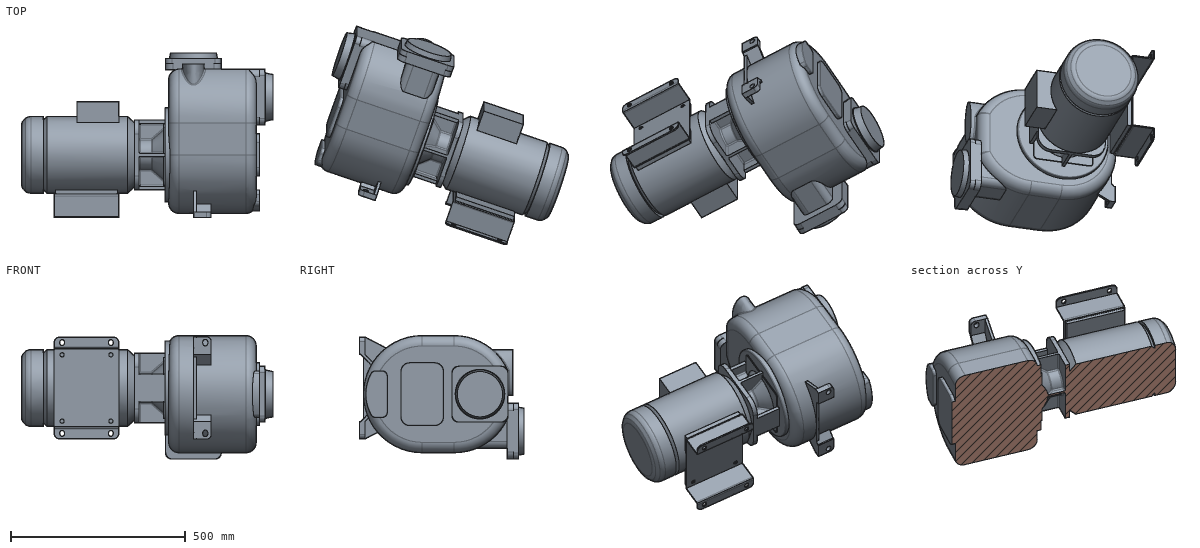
import cadquery as cq
import math


margin = 1

motor_radius = 110.2
motor_end_fillet = 28
motor_end_bevel_angles = (30, 57)
motor_groove_x = 63.5
motor_groove_depth = 10
motor_cone_x = 304.5
motor_cone_depth = 18
motor_end_x = 324
terminal_box_x = 159.5
terminal_box_length = 120
terminal_box_top_y = 152.5

adapter_half = 100
adapter_corner_radius = 40
adapter_flange_thickness = 13.5
adapter_wall_thickness = 10
adapter_wall_width = 80
adapter_rib_thickness = 8
adapter_root_fillet = 4
hub_radius = 43
hub_cone_x = 374
hub_cone_radius = 75
pad_half = 88
pad_corner_radius = 10
pad_thickness = 3
cover_radius = 135
cover_x = 411
cover_edge_fillet = 2

casing_x = 422
casing_length = 251
casing_radius = 168
casing_center_z = -17.7
casing_straight = 91.5
casing_flat_y = 245.5
casing_fillet = 30
casing_end_x = casing_x + casing_length

port_size = 160
port_flange_thickness = 15.5
port_flange_corner = 18
port_body_corner = 21
outlet_nozzle_radius = 69
outlet_nozzle_end_radius = 66
inlet_nozzle_radius = 70
inlet_nozzle_end_radius = 65
inlet_collar_radius = 71
inlet_collar_length = 2
overall_length = 721.5
inlet_flange_x = 697.5
inlet_center_y = casing_flat_y - port_size / 2
outlet_end_y = 292
outlet_flange_y = 276.5
outlet_body_y = 243.5
outlet_center_x = 493
outlet_center_z = -123.7
outlet_neck_size = 99
outlet_neck_corner = 20

boss_center_z = 44.5
boss_half_width = 31
boss_half_height = 65.5
boss_end_y = 260
boss_root_fillet = 4

end_cover_height = 9.7
end_cover_fillet = 1
large_cover_width = 122
large_cover_height = 180
large_cover_corner = 25
small_cover_top_y = -100
small_cover_side_end_y = -142
small_cover_bottom_y = -161.5
small_cover_height = 133
small_cover_corner = 14

foot_y = -180
foot_half_height = 146
foot_hole_z = 130

gusset_x = 493.5
gusset_thickness = 8.5
gusset_root_y = -100
gusset_root_z = 113
gusset_shoulder_y = -163.5
gusset_edge_y = -168.5
gusset_notch_y = -176
gusset_notch_z = 96
foot_lug_end_x = 544
foot_lug_root_y = -135
foot_lug_web_thickness = 8.5
foot_lug_corner = 13
foot_lug_hole_x = 527
foot_lug_hole_width = 15
foot_lug_hole_height = 19

bracket_x = 94
bracket_length = 185.5
sheet = 4
bracket_bend_y = -118
bracket_half_height = 115
bend_radius = 6
bracket_corner = 16
bracket_hole_inset = 23
bracket_slot_width = 12.5
bracket_slot_height = 16
plate_hole_diameter = 12
plate_hole_z = 95
spacer_x = 98.5
spacer_length = 176.5
spacer_top_y = -100
spacer_half_height = 112


def block(x0, x1, y0, y1, z0, z1):
    return cq.Workplane("XY").box(x1 - x0, y1 - y0, z1 - z0, centered=False).translate((x0, y0, z0))


def square_along_x(x0, x1, center_y, center_z, size_y, size_z, corner):
    plate = cq.Workplane("YZ", origin=(x0, center_y, center_z)).rect(size_y, size_z).extrude(x1 - x0)
    return plate.edges("|X").fillet(corner)


def square_along_y(y0, y1, center_x, center_z, size, corner):
    plate = cq.Workplane("XZ", origin=(center_x, y0, center_z)).rect(size, size).extrude(y0 - y1)
    return plate.edges("|Y").fillet(corner)


def revolved_about_x(outline):
    return outline.close().revolve(360, (0, 0, 0), (1, 0, 0))


def motor_end_point(angle):
    """Point of the rounded motor end, `angle` degrees around from its flat face."""
    turn = math.radians(angle)
    return (
        motor_end_fillet * (1 - math.cos(turn)),
        motor_radius - motor_end_fillet * (1 - math.sin(turn)),
    )


def make_motor():
    bevel_start, bevel_end = motor_end_bevel_angles
    groove_radius = motor_radius - motor_groove_depth
    outline = (
        cq.Workplane("XY")
        .lineTo(*motor_end_point(0))
        .threePointArc(motor_end_point(bevel_start / 2), motor_end_point(bevel_start))
        .lineTo(*motor_end_point(bevel_end))
        .threePointArc(motor_end_point((bevel_end + 90) / 2), motor_end_point(90))
        .lineTo(motor_groove_x, motor_radius)
        .lineTo(motor_groove_x, groove_radius)
        .lineTo(motor_groove_x + motor_groove_depth, motor_radius)
        .lineTo(motor_cone_x, motor_radius)
        .lineTo(motor_end_x, motor_radius - motor_cone_depth)
        .lineTo(motor_end_x, 0)
    )
    box_half = terminal_box_length / 2
    terminal_box = block(
        terminal_box_x, terminal_box_x + terminal_box_length, 0, terminal_box_top_y, -box_half, box_half
    )
    return revolved_about_x(outline).union(terminal_box)


def make_adapter():
    flange_back_x = motor_end_x + adapter_flange_thickness
    side = 2 * adapter_half
    flange = square_along_x(motor_end_x, flange_back_x, 0, 0, side, side, adapter_corner_radius)
    hub = revolved_about_x(
        cq.Workplane("XY", origin=(motor_end_x, 0, 0))
        .lineTo(0, hub_radius)
        .lineTo(hub_cone_x - motor_end_x, hub_radius)
        .lineTo(cover_x - motor_end_x, hub_cone_radius)
        .lineTo(cover_x - motor_end_x, 0)
    )
    body = flange.union(hub)
    half_rib = adapter_rib_thickness / 2
    half_wall = adapter_wall_width / 2
    wall_inner = adapter_half - adapter_wall_thickness
    upright_rib = block(motor_end_x, cover_x, -half_rib, half_rib, -adapter_half, adapter_half)
    level_rib = block(motor_end_x, cover_x, -adapter_half, adapter_half, -half_rib, half_rib)
    body = body.union(upright_rib).union(level_rib)
    for y0 in (wall_inner, -adapter_half):
        wall = block(motor_end_x, cover_x, y0, y0 + adapter_wall_thickness, -half_wall, half_wall)
        body = body.union(wall)
    root_reach = adapter_half - adapter_corner_radius / 2
    roots = cq.selectors.BoxSelector(
        (flange_back_x - margin, -root_reach, -root_reach), (cover_x - margin, root_reach, root_reach)
    )
    rib_ends = cq.selectors.BoxSelector(
        (flange_back_x - margin, -wall_inner - margin, -half_rib - margin),
        (cover_x - margin, wall_inner + margin, half_rib + margin),
    )
    return body.edges(roots + rib_ends).fillet(adapter_root_fillet)


def make_cover():
    pad = square_along_x(
        cover_x - pad_thickness, cover_x, 0, 0, 2 * pad_half, 2 * pad_half, pad_corner_radius
    )
    disc = cq.Workplane("YZ", origin=(cover_x, 0, 0)).circle(cover_radius)
    disc = disc.extrude(casing_x + casing_fillet - cover_x)
    return disc.faces("<X").edges().fillet(cover_edge_fillet).union(pad)


def make_casing():
    flat_half = math.sqrt(casing_radius**2 - (casing_flat_y - casing_straight) ** 2)
    arc_mid = casing_radius * math.sqrt(0.5)
    outline = cq.Workplane("YZ", origin=(casing_x, 0, casing_center_z)).moveTo(0, casing_radius)
    drum = (
        outline.threePointArc((-casing_radius, 0), (0, -casing_radius))
        .lineTo(casing_straight, -casing_radius)
        .threePointArc((casing_straight + arc_mid, -arc_mid), (casing_flat_y, -flat_half))
        .lineTo(casing_flat_y, flat_half)
        .threePointArc((casing_straight + arc_mid, arc_mid), (casing_straight, casing_radius))
        .close()
        .extrude(casing_length)
    )
    return drum.edges("<X or >X").fillet(casing_fillet)


def make_nozzle(base_radius, end_radius, length):
    """Tapered round nozzle standing on the XY plane."""
    nozzle = cq.Workplane("XY").circle(base_radius)
    return nozzle.workplane(offset=length).circle(end_radius).loft()


def make_inlet():
    step_x = inlet_flange_x - port_flange_thickness
    root_x = casing_end_x - casing_fillet
    center = (inlet_center_y, casing_center_z)
    body = square_along_x(root_x, step_x, *center, port_size, port_size, port_body_corner)
    flange = square_along_x(step_x, inlet_flange_x, *center, port_size, port_size, port_flange_corner)
    collar = cq.Workplane("XY").circle(inlet_collar_radius).extrude(inlet_collar_length)
    nozzle = make_nozzle(inlet_nozzle_radius, inlet_nozzle_end_radius, overall_length - inlet_flange_x)
    nozzle = nozzle.union(collar).rotate((0, 0, 0), (0, 1, 0), 90)
    return body.union(flange).union(nozzle.translate((inlet_flange_x, *center)))


def make_outlet():
    step_y = outlet_flange_y - port_flange_thickness
    center = (outlet_center_x, outlet_center_z)
    neck = square_along_y(casing_straight, outlet_body_y, *center, outlet_neck_size, outlet_neck_corner)
    body = square_along_y(outlet_body_y, step_y, *center, port_size, port_body_corner)
    flange = square_along_y(step_y, outlet_flange_y, *center, port_size, port_flange_corner)
    nozzle = make_nozzle(outlet_nozzle_radius, outlet_nozzle_end_radius, outlet_end_y - outlet_flange_y)
    nozzle = nozzle.rotate((0, 0, 0), (1, 0, 0), -90)
    nozzle = nozzle.translate((outlet_center_x, outlet_flange_y, outlet_center_z))
    return neck.union(body).union(flange).union(nozzle)


def add_filling_boss(casing):
    plane = cq.Workplane("XZ", origin=(outlet_center_x, boss_end_y, boss_center_z))
    boss = plane.ellipse(boss_half_width, boss_half_height).extrude(boss_end_y - casing_straight)
    root_reach = boss_half_height + margin
    root = cq.selectors.BoxSelector(
        (outlet_center_x - boss_half_width, casing_straight + margin, boss_center_z - root_reach),
        (outlet_center_x + boss_half_width, boss_end_y - margin, boss_center_z + root_reach),
    )
    joined = casing.union(boss)
    return joined.edges(root).edges("not |X").fillet(boss_root_fillet)


def make_large_end_cover():
    cover = square_along_x(
        casing_end_x - casing_fillet,
        casing_end_x + end_cover_height,
        0,
        casing_center_z,
        large_cover_width,
        large_cover_height,
        large_cover_corner,
    )
    return cover.faces(">X").edges().fillet(end_cover_fillet)


def make_small_end_cover():
    """Cover with one straight side and a bowed side toward the foot."""
    half = small_cover_height / 2
    cover = (
        cq.Workplane("YZ", origin=(casing_end_x - casing_fillet, 0, casing_center_z))
        .moveTo(small_cover_top_y, -half)
        .lineTo(small_cover_top_y, half)
        .lineTo(small_cover_side_end_y, half)
        .threePointArc((small_cover_bottom_y, 0), (small_cover_side_end_y, -half))
        .close()
        .extrude(casing_fillet + end_cover_height)
    )
    cover = cover.edges("|X").fillet(small_cover_corner)
    return cover.faces(">X").edges().fillet(end_cover_fillet)


def make_casing_foot():
    edge_z = gusset_notch_z - (gusset_edge_y - gusset_notch_y)
    upper = [
        (gusset_root_y, gusset_root_z),
        (gusset_shoulder_y, foot_half_height),
        (foot_y, foot_half_height),
        (foot_y, gusset_notch_z),
        (gusset_notch_y, gusset_notch_z),
        (gusset_edge_y, edge_z),
    ]
    lower = [(y, -z) for y, z in reversed(upper)]
    gusset = cq.Workplane("YZ", origin=(gusset_x, 0, 0)).polyline(upper + lower).close()
    foot = gusset.extrude(gusset_thickness)

    web_rise = foot_lug_web_thickness * math.sqrt(2)
    root_z = gusset_notch_z - (foot_lug_root_y - gusset_notch_y)
    shoulder_z = gusset_notch_z - (gusset_shoulder_y - gusset_notch_y)
    lug_outline = upper[1:5] + [
        (foot_lug_root_y, root_z),
        (foot_lug_root_y, root_z + web_rise),
        (gusset_shoulder_y, shoulder_z + web_rise),
    ]
    full_height = 2 * foot_half_height
    rounded_center_x = foot_lug_end_x - foot_half_height
    rounding = square_along_y(foot_y, 0, rounded_center_x, 0, full_height, foot_lug_corner)
    for side in (1, -1):
        points = [(y, side * z) for y, z in lug_outline]
        lug = cq.Workplane("YZ", origin=(gusset_x, 0, 0)).polyline(points).close()
        lug = lug.extrude(foot_lug_end_x - gusset_x)
        hole = cq.Workplane("XZ", origin=(foot_lug_hole_x, foot_y, side * foot_hole_z))
        hole = hole.ellipse(foot_lug_hole_width / 2, foot_lug_hole_height / 2)
        hole = hole.extrude(foot_y - gusset_shoulder_y)
        foot = foot.union(lug.intersect(rounding)).cut(hole)
    return foot


def make_motor_bracket():
    """Hat-shaped sheet: a plate, two webs toward the mounting plane and two outward tabs."""
    inner = bracket_half_height - sheet
    plate_back_y = bracket_bend_y + bend_radius
    end_x = bracket_x + bracket_length
    bracket = block(bracket_x, end_x, foot_y, plate_back_y, -bracket_half_height, bracket_half_height)
    bracket = bracket.edges(">Y and |X").fillet(bend_radius)
    bracket = bracket.cut(block(bracket_x, end_x, foot_y, plate_back_y - sheet, -inner, inner))
    for side in (1, -1):
        z0, z1 = sorted((side * inner, side * foot_half_height))
        tab = block(bracket_x, end_x, foot_y, foot_y + sheet, z0, z1)
        tip = ">Z" if side > 0 else "<Z"
        tab = tab.edges(f"|Y and {tip}").fillet(bracket_corner)
        bracket = bracket.union(tab)
    bend_edges = cq.selectors.BoxSelector(
        (bracket_x - margin, foot_y - margin, -inner - margin),
        (end_x + margin, foot_y + margin, inner + margin),
    )
    bracket = bracket.edges("|X").edges(bend_edges).fillet(bend_radius)
    for x in (bracket_x + bracket_hole_inset, end_x - bracket_hole_inset):
        for side in (1, -1):
            slot = cq.Workplane("XZ", origin=(x, foot_y + sheet, side * foot_hole_z))
            slot = slot.slot2D(bracket_slot_height, bracket_slot_width, 90).extrude(sheet)
            hole = cq.Workplane("XZ", origin=(x, plate_back_y, side * plate_hole_z))
            hole = hole.circle(plate_hole_diameter / 2).extrude(sheet)
            bracket = bracket.cut(slot).cut(hole)
    spacer = block(
        spacer_x,
        spacer_x + spacer_length,
        plate_back_y,
        spacer_top_y,
        -spacer_half_height,
        spacer_half_height,
    )
    return bracket.union(spacer)


casing_parts = (
    make_cover(),
    make_inlet(),
    make_outlet(),
    make_large_end_cover(),
    make_small_end_cover(),
    make_casing_foot(),
)
result = add_filling_boss(make_casing())
for part in casing_parts:
    result = result.union(part)
result = result.union(make_adapter()).union(make_motor()).union(make_motor_bracket())